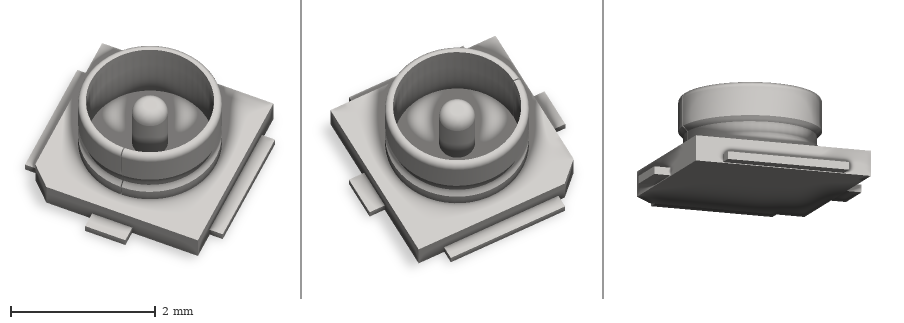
import cadquery as cq


base_side = 2.6
base_height = 0.36
corner_chamfer = 0.3

tab_bottom = 0.01
tab_top = 0.12
side_tab_span = 3.0
side_tab_width = 1.8
end_tab_span = 3.08
end_tab_width = 0.61

total_height = 1.3
ring_radius = 1.0
bore_radius = 0.89
rim_fillet = 0.08
groove_depth = 0.07
groove_bottom = 0.6
groove_top = 0.74
groove_radius = ring_radius - groove_depth

seam_angle = 1.0
seam_direction = -90

pin_radius = 0.25
pin_top = 1.205
pin_flat_radius = 0.095
pin_fillet = pin_radius - pin_flat_radius


def make_base():
    """Square base with one corner cut off at -X, -Y."""
    base = cq.Workplane("XY").box(base_side, base_side, base_height, centered=(True, True, False))
    return base.edges("|Z and <X and <Y").chamfer(corner_chamfer)


def make_tab_bar(length_x, length_y):
    """Flat bar through the base whose two ends form a pair of opposite tabs."""
    bar = cq.Workplane("XY").workplane(offset=tab_bottom)
    return bar.box(length_x, length_y, tab_top - tab_bottom, centered=(True, True, False))


def make_ring():
    """Revolved ring with a rounded outer rim, a retention groove and a seam at -Y."""
    profile = (
        cq.Workplane("XZ")
        .moveTo(bore_radius, base_height)
        .lineTo(ring_radius, base_height)
        .lineTo(ring_radius, groove_bottom - groove_depth)
        .lineTo(groove_radius, groove_bottom)
        .lineTo(groove_radius, groove_top)
        .lineTo(ring_radius, groove_top + groove_depth)
        .lineTo(ring_radius, total_height - rim_fillet)
        .radiusArc((ring_radius - rim_fillet, total_height), -rim_fillet)
        .lineTo(bore_radius, total_height)
        .close()
    )
    ring = profile.revolve(360 - seam_angle, (0, 0, 0), (0, 1, 0))
    return ring.rotate((0, 0, 0), (0, 0, 1), seam_direction + seam_angle / 2)


def make_pin():
    """Centre pin with a rounded top that leaves a small flat."""
    pin = cq.Workplane("XY").circle(pin_radius).extrude(pin_top)
    return pin.faces(">Z").edges().fillet(pin_fillet)


result = (
    make_base()
    .union(make_tab_bar(side_tab_span, side_tab_width))
    .union(make_tab_bar(end_tab_width, end_tab_span))
    .union(make_ring())
    .union(make_pin())
)